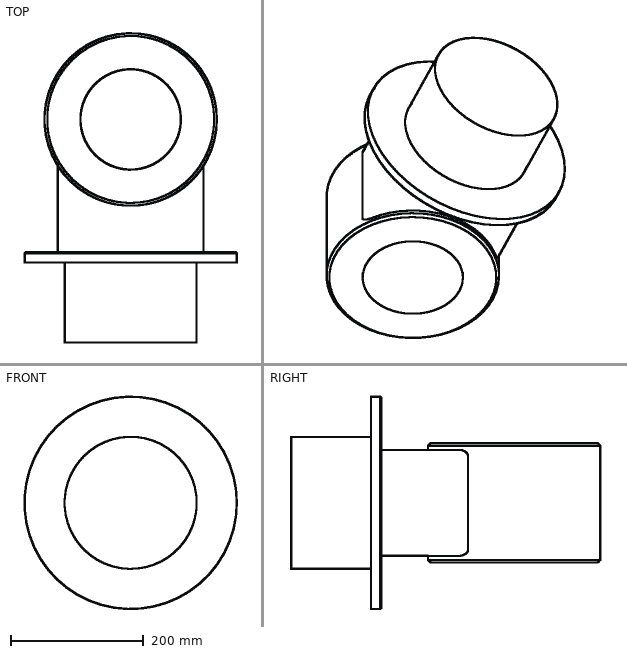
import cadquery as cq

total_length = 466.0
eye_diameter = 260.0
eye_height = 180.0
eye_bevel = 4.0
bore_diameter = 151.0
neck_width = 220.0
neck_height = 160.0
neck_edge_radius = 10.0
flange_diameter = 320.0
flange_thickness = 16.0
flange_bevel = 2.0
shaft_diameter = 199.0
shaft_length = 120.0

shaft_end_y = eye_diameter / 2 - total_length
flange_front_y = shaft_end_y + shaft_length
flange_back_y = flange_front_y + flange_thickness


def cylinder_along_y(diameter, start_y, length):
    """Solid cylinder growing toward +Y from start_y."""
    plane = cq.Workplane("XZ", origin=(0, start_y, 0))
    return plane.circle(diameter / 2).extrude(-length)


eye_base = cq.Workplane("XY", origin=(0, 0, -eye_height / 2))
eye = eye_base.circle(eye_diameter / 2).extrude(eye_height)
eye = eye.faces("|Z").edges().chamfer(eye_bevel)

neck = (
    cq.Workplane("XZ", origin=(0, flange_back_y, 0))
    .rect(neck_width, neck_height)
    .extrude(flange_back_y)
    .edges("|Y")
    .fillet(neck_edge_radius)
)

flange = cylinder_along_y(flange_diameter, flange_front_y, flange_thickness)
flange = flange.faces(">Y").edges().chamfer(flange_bevel)
shaft = cylinder_along_y(shaft_diameter, shaft_end_y, shaft_length)

bore = eye_base.circle(bore_diameter / 2).extrude(eye_height)

result = eye.union(neck).union(flange).union(shaft).cut(bore)